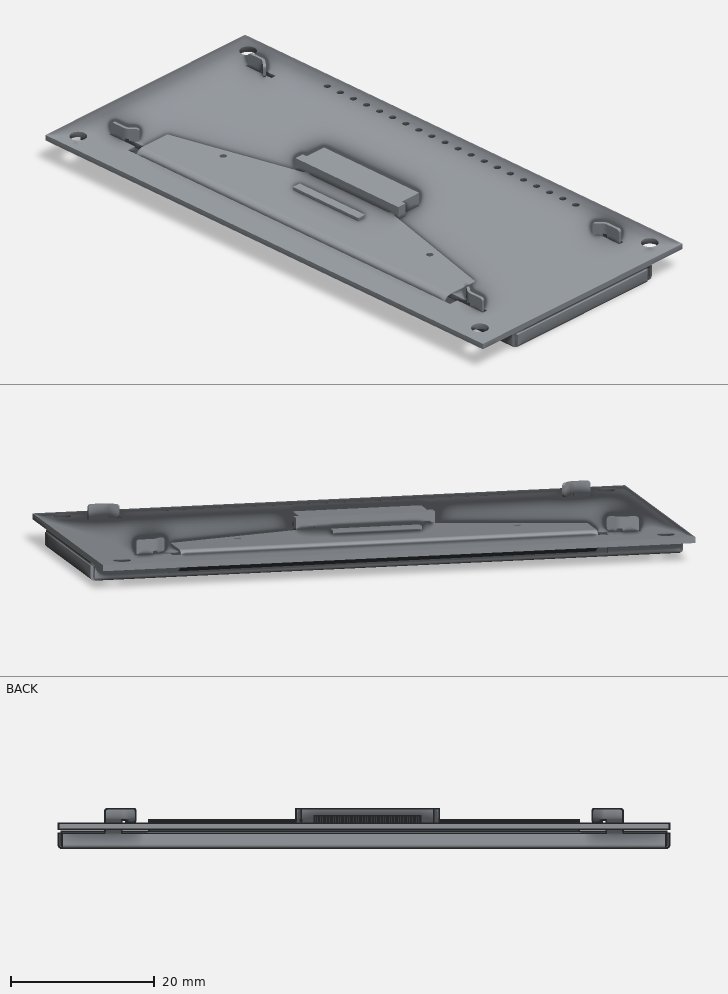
import cadquery as cq
import math

BOARD_X, BOARD_Y = 85, 39.8
BOARD_BOTTOM, BOARD_TOP = 2.6, 3.5
MOUNT_HOLE_D = 2.5
MOUNT_X, MOUNT_Y = 39.0, 16.9
PIN_HOLE_D = 1.0
PIN_COUNT = 20
PIN_ROW_X = 48.3
PIN_PITCH = PIN_ROW_X / (PIN_COUNT - 1)
PIN_ROW_Y = 17.4
FLEX_SLOT_HALF_X = 31.3
FLEX_SLOT_Y = (-15.0, -12.7)
TAB_SLOT_WIDTH = 0.85
TAB_SLOT_CLEARANCE = 0.25

SHEET = 0.4
TRAY_HALF_X = BOARD_X / 2
TRAY_FRONT, TRAY_BACK = -13.4, 14.3
TRAY_TOP = 2.1
BEND_RADIUS = 0.5
END_WALL_HALF_Y = 12.9
FLEX_NOTCH_HALF_X = 31.6

TAB_OUTER_X, TAB_BEND_X = 36.0, 33.7
TAB_TOP = 5.5
TAB_BEND_BOTTOM, TAB_LEAF_BOTTOM = 3.9, 3.6
TAB_LEAF_LENGTH = 1.45
TAB_BEND_RADIUS = 0.85
TAB_ANGLE = 40
TAB_CORNER = 0.4

LAYER_HALF_X = TRAY_HALF_X - SHEET
LAYER_FRONT = TRAY_FRONT + SHEET
LAYER_BACK = 13.5
GLASS_TOP = 1.3
BACKLIGHT_TOP = 2.4
BACKLIGHT_TOP_FRONT = -11.1
BACKLIGHT_RIM = 0.5
BACKLIGHT_BACK_CHAMFER = 0.4

FLEX_T = 0.1
FLEX_RISE = 0.47
FLEX_TOP = BOARD_TOP + FLEX_RISE
FLEX_HALF_X = 29.9
FLEX_SHOULDER_Y = -8.5
FLEX_TONGUE_HALF_X = 8.8
FLEX_TONGUE_Y = (-3.0, -0.85)
FLEX_BEND_RADIUS = 1.4
FLEX_TAIL_ANGLE = 30
FLEX_HOLE_D = 1.0
FLEX_HOLE_X, FLEX_HOLE_Y = 20.1, -7.5

BAR_X = 12.75
BAR_Y = (-7.65, -6.3)
BAR_HEIGHT = 0.5

CONNECTOR_X = -0.5
CONNECTOR_TOP = 5.5
FLANGE_X, BODY_X = 20.0, 18.45
FLANGE_FRONT, FLANGE_BACK, BODY_BACK = -2.9, -1.45, 2.0
LEDGE_BACK = 2.4
CONTACT_BACK = 3.3
CONTACT_TOP = 4.5
CONTACT_COUNT = 30
CONTACT_PITCH = 0.5
CONTACT_WIDTH = 0.25
CONTACT_GAP = CONTACT_PITCH - CONTACT_WIDTH
CONTACT_ROW_X = (CONTACT_COUNT - 1) * CONTACT_PITCH + CONTACT_WIDTH
KEY_X = 8.25
KEY_WIDTH, KEY_DEPTH, KEY_HEIGHT = 1.0, 0.4, 0.25


def block(x_range, y_range, z_range):
    """Box between two limits along each axis."""
    (x0, x1), (y0, y1), (z0, z1) = x_range, y_range, z_range
    return cq.Workplane("XY").box(x1 - x0, y1 - y0, z1 - z0, centered=False).translate((x0, y0, z0))


def centred_block(width, y_range, z_range, centre_x=0):
    """Box of a given X width, centred at centre_x."""
    return block((centre_x - width / 2, centre_x + width / 2), y_range, z_range)


def mirrored_x(shape):
    """The shape together with its mirror image across the YZ plane."""
    return shape.union(shape.mirror("YZ"))


def make_board():
    thickness = (BOARD_BOTTOM, BOARD_TOP)
    board = centred_block(BOARD_X, (-BOARD_Y / 2, BOARD_Y / 2), thickness)
    upper = board.faces(">Z").workplane(origin=(0, 0, BOARD_TOP))
    board = upper.rect(2 * MOUNT_X, 2 * MOUNT_Y, forConstruction=True).vertices().hole(MOUNT_HOLE_D)
    upper = board.faces(">Z").workplane(origin=(0, PIN_ROW_Y, BOARD_TOP))
    board = upper.rarray(PIN_PITCH, 0.85, PIN_COUNT, 1).hole(PIN_HOLE_D)

    board = board.cut(centred_block(2 * FLEX_SLOT_HALF_X, FLEX_SLOT_Y, thickness))
    tab_slot_x = (-TAB_OUTER_X - TAB_SLOT_CLEARANCE, -FLEX_SLOT_HALF_X)
    front_slot_y = (FLEX_SLOT_Y[1] - TAB_SLOT_WIDTH, FLEX_SLOT_Y[1])
    tab_centre_y = TRAY_BACK - SHEET / 2
    back_slot_y = (tab_centre_y - TAB_SLOT_WIDTH / 2, tab_centre_y + TAB_SLOT_WIDTH / 2)
    for slot_y in (front_slot_y, back_slot_y):
        board = board.cut(mirrored_x(block(tab_slot_x, slot_y, thickness)))
    return board


def make_back_left_tab():
    """Neck rising from the back wall, and a leaf that bends from its inner side toward the front."""
    inner_y, outer_y = TRAY_BACK - SHEET, TRAY_BACK
    neck = block((-TAB_OUTER_X, -TAB_BEND_X), (inner_y, outer_y), (TRAY_TOP, TAB_TOP))
    neck = neck.edges("|Y and <X and >Z").fillet(TAB_CORNER)

    bend_centre = (-TAB_BEND_X, inner_y - TAB_BEND_RADIUS)
    outer_radius = TAB_BEND_RADIUS + SHEET

    def bend_point(radius, degrees):
        """Point of the bend in XY; the angle is measured from the back toward the middle."""
        angle = math.radians(degrees)
        return bend_centre[0] + radius * math.sin(angle), bend_centre[1] + radius * math.cos(angle)

    bend = (
        cq.Workplane("XY", origin=(0, 0, TAB_BEND_BOTTOM))
        .moveTo(-TAB_BEND_X, outer_y)
        .threePointArc(bend_point(outer_radius, TAB_ANGLE / 2), bend_point(outer_radius, TAB_ANGLE))
        .lineTo(*bend_point(TAB_BEND_RADIUS, TAB_ANGLE))
        .threePointArc(bend_point(TAB_BEND_RADIUS, TAB_ANGLE / 2), (-TAB_BEND_X, inner_y))
        .close()
        .extrude(TAB_TOP - TAB_BEND_BOTTOM)
    )

    leaf_x = (-TAB_BEND_X, -TAB_BEND_X + TAB_LEAF_LENGTH)
    leaf = block(leaf_x, (inner_y, outer_y), (TAB_LEAF_BOTTOM, TAB_TOP))
    leaf = leaf.edges("|Y and >X").fillet(TAB_CORNER)
    leaf = leaf.rotate((*bend_centre, 0), (*bend_centre, 1), -TAB_ANGLE)
    return neck.union(bend).union(leaf)


def make_tray():
    depth = (TRAY_FRONT, TRAY_BACK)
    tray = centred_block(2 * TRAY_HALF_X, depth, (0, TRAY_TOP))
    tray = tray.edges("<Z").fillet(BEND_RADIUS)
    inner_y = (TRAY_FRONT + SHEET, TRAY_BACK - SHEET)
    tray = tray.cut(centred_block(2 * LAYER_HALF_X, inner_y, (SHEET, TRAY_TOP)))

    corner_x = (-TRAY_HALF_X, -TRAY_HALF_X + BEND_RADIUS)
    for corner_y in ((TRAY_FRONT, -END_WALL_HALF_Y), (END_WALL_HALF_Y, TRAY_BACK)):
        tray = tray.cut(mirrored_x(block(corner_x, corner_y, (0, TRAY_TOP))))

    notch_y = (TRAY_FRONT, TRAY_FRONT + SHEET)
    tray = tray.cut(centred_block(2 * FLEX_NOTCH_HALF_X, notch_y, (BEND_RADIUS, TRAY_TOP)))

    back_tab = make_back_left_tab()
    middle = (0, (TRAY_FRONT + TRAY_BACK) / 2, 0)
    front_tab = back_tab.mirror("XZ", middle)
    return tray.union(mirrored_x(back_tab)).union(mirrored_x(front_tab))


def make_glass():
    return centred_block(2 * LAYER_HALF_X, (LAYER_FRONT, LAYER_BACK - BACKLIGHT_RIM), (SHEET, GLASS_TOP))


def make_backlight():
    """Plate with a sloping front face, a rim behind the glass and a chamfered upper back edge."""
    slope = BACKLIGHT_TOP - GLASS_TOP
    chamfer = BACKLIGHT_BACK_CHAMFER
    outline = [
        (BACKLIGHT_TOP_FRONT - slope, GLASS_TOP),
        (LAYER_BACK - BACKLIGHT_RIM, GLASS_TOP),
        (LAYER_BACK - BACKLIGHT_RIM, SHEET),
        (LAYER_BACK, SHEET),
        (LAYER_BACK, BACKLIGHT_TOP - chamfer),
        (LAYER_BACK - chamfer, BACKLIGHT_TOP),
        (BACKLIGHT_TOP_FRONT, BACKLIGHT_TOP),
    ]
    return cq.Workplane("YZ").polyline(outline).close().extrude(LAYER_HALF_X, both=True)


def make_flex():
    """Sheet over the board that bends round through the slot and down to the glass edge."""
    sheet = cq.Workplane("XY", origin=(0, 0, FLEX_TOP - FLEX_T)).polyline(
        [
            (-FLEX_HALF_X, TRAY_FRONT),
            (-FLEX_HALF_X, FLEX_SHOULDER_Y),
            (-FLEX_TONGUE_HALF_X, FLEX_TONGUE_Y[0]),
            (-FLEX_TONGUE_HALF_X, FLEX_TONGUE_Y[1]),
            (FLEX_TONGUE_HALF_X, FLEX_TONGUE_Y[1]),
            (FLEX_TONGUE_HALF_X, FLEX_TONGUE_Y[0]),
            (FLEX_HALF_X, FLEX_SHOULDER_Y),
            (FLEX_HALF_X, TRAY_FRONT),
        ]
    ).close().extrude(FLEX_T)
    holes = [(-FLEX_HOLE_X, FLEX_HOLE_Y), (FLEX_HOLE_X, FLEX_HOLE_Y)]
    sheet = sheet.faces(">Z").workplane(origin=(0, 0, FLEX_TOP)).pushPoints(holes).hole(FLEX_HOLE_D)

    bend_z = FLEX_TOP - FLEX_BEND_RADIUS
    inner_radius = FLEX_BEND_RADIUS - FLEX_T
    tail = math.radians(FLEX_TAIL_ANGLE)

    def bend_point(radius, angle):
        """Point of the bend in YZ; the angle is measured from straight down toward the front."""
        return TRAY_FRONT - radius * math.sin(angle), bend_z - radius * math.cos(angle)

    def tail_end(radius):
        """Where the straight tail of that bend side meets the front face of the glass."""
        y, z = bend_point(radius, tail)
        return LAYER_FRONT, z - (LAYER_FRONT - y) * math.tan(tail)

    forward = math.pi / 2
    bend = (
        cq.Workplane("YZ")
        .moveTo(TRAY_FRONT, FLEX_TOP)
        .threePointArc(bend_point(FLEX_BEND_RADIUS, forward), bend_point(FLEX_BEND_RADIUS, tail))
        .lineTo(*tail_end(FLEX_BEND_RADIUS))
        .lineTo(*tail_end(inner_radius))
        .lineTo(*bend_point(inner_radius, tail))
        .threePointArc(bend_point(inner_radius, forward), (TRAY_FRONT, FLEX_TOP - FLEX_T))
        .close()
        .extrude(FLEX_HALF_X, both=True)
    )
    return sheet.union(bend)


def make_bar():
    return centred_block(BAR_X, BAR_Y, (FLEX_TOP, FLEX_TOP + BAR_HEIGHT))


def make_connector(flex):
    height = (BOARD_TOP, CONNECTOR_TOP)
    connector = centred_block(FLANGE_X, (FLANGE_FRONT, FLANGE_BACK), height, CONNECTOR_X)
    connector = connector.union(centred_block(BODY_X, (FLANGE_BACK, BODY_BACK), height, CONNECTOR_X))

    contact_height = (BOARD_TOP, CONTACT_TOP)
    contact_y = (BODY_BACK, CONTACT_BACK)
    contacts = centred_block(CONTACT_ROW_X, contact_y, contact_height, CONNECTOR_X)
    gap_y = (LEDGE_BACK, CONTACT_BACK)
    first_gap_x = CONNECTOR_X - (CONTACT_COUNT - 2) / 2 * CONTACT_PITCH
    for i in range(CONTACT_COUNT - 1):
        gap_x = first_gap_x + i * CONTACT_PITCH
        contacts = contacts.cut(centred_block(CONTACT_GAP, gap_y, contact_height, gap_x))
    connector = connector.union(contacts)

    key_y = (FLANGE_FRONT, FLANGE_FRONT + KEY_DEPTH)
    for x in (-KEY_X, KEY_X):
        connector = connector.cut(centred_block(KEY_WIDTH, key_y, (FLEX_TOP, FLEX_TOP + KEY_HEIGHT), x))

    return connector.cut(flex)


board = make_board()
tray = make_tray()
glass = make_glass()
backlight = make_backlight()
flex = make_flex()
bar = make_bar()
connector = make_connector(flex)

bodies = [board, tray, glass, backlight, flex, bar, connector]
result = cq.Compound.makeCompound([body.solids().val() for body in bodies])